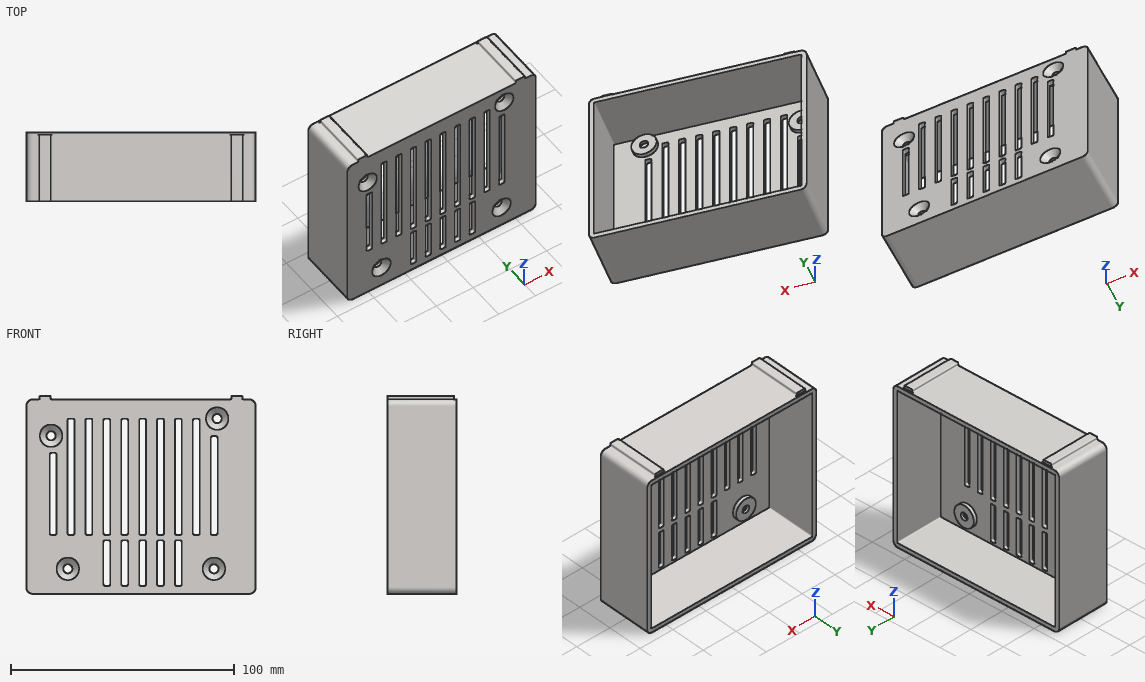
import cadquery as cq

width = 102.6
depth = 30.9
total_height = 88.6
rail_height = 1.5
body_height = total_height - rail_height
corner_radius = 3.0
wall = 2.5

rail_width = 5.0
rail_offset = 42.9
rail_fillet = 0.5
rail_back_gap = 1.0
rail_length = depth - rail_back_gap

slot_width = 3.0
slot_pitch = 8.0
slot_corner = 0.7
center_slot_x = 0.7
upper_bottom = 26.5
upper_top = 78.4
left_slot_top = 63.1
right_slot_top = 70.6
lower_bottom = 3.7
lower_top = 24.0

upper_first, upper_last = -5, 4
lower_first, lower_last = -2, 2

screw_points = [(-40.2, 70.8), (34.1, 78.5), (-32.7, 11.3), (32.6, 11.3)]
screw_diameter = 4.0
sink_diameter = 10.1
sink_depth = 3.0
boss_diameter = 12.0
boss_depth = 4.5


def front_block(x_size, z_bottom, z_top, length, x_center=0.0):
    """Block running back from the front face, given its X size, Z range and length."""
    return (
        cq.Workplane("XY")
        .box(x_size, length, z_top - z_bottom)
        .translate((x_center, length / 2, (z_bottom + z_top) / 2))
    )


def make_shell():
    outer = front_block(width, 0, body_height, depth).edges("|Y").fillet(corner_radius)
    cavity = (
        front_block(width - 2 * wall, wall, body_height - wall, depth - wall)
        .edges("|Y")
        .fillet(corner_radius - wall)
        .translate((0, wall, 0))
    )
    return outer.cut(cavity)


def rail_foot(edge_x, flank):
    """Concave fillet between the top face and one flank (-1 or 1) of a rail."""
    return (
        cq.Workplane("XZ", origin=(edge_x, 0, body_height))
        .moveTo(0, rail_fillet)
        .radiusArc((flank * rail_fillet, 0), -flank * rail_fillet)
        .lineTo(0, 0)
        .close()
        .extrude(-rail_length)
    )


def add_rail(body, x):
    rail = front_block(rail_width, body_height - wall / 2, total_height, rail_length, x)
    body = body.union(rail.edges("|Y and >Z").fillet(rail_fillet))
    for flank in (-1, 1):
        body = body.union(rail_foot(x + flank * rail_width / 2, flank))
    return body


def cut_slot(body, index, z_bottom, z_top):
    x = center_slot_x + index * slot_pitch
    slot = front_block(slot_width, z_bottom, z_top, wall, x)
    return body.cut(slot.edges("|Y").fillet(slot_corner))


def rod(x, z, diameter, length):
    """Cylinder running back from the front face."""
    start = cq.Vector(x, 0, z)
    return cq.Workplane(cq.Solid.makeCylinder(diameter / 2, length, start, cq.Vector(0, 1, 0)))


def countersink(x, z):
    start = cq.Vector(x, 0, z)
    return cq.Workplane(
        cq.Solid.makeCone(sink_diameter / 2, screw_diameter / 2, sink_depth, start, cq.Vector(0, 1, 0))
    )


def add_screw_hole(body, x, z):
    body = body.union(rod(x, z, boss_diameter, boss_depth))
    return body.cut(rod(x, z, screw_diameter, boss_depth)).cut(countersink(x, z))


result = make_shell()

for side in (-1, 1):
    result = add_rail(result, side * rail_offset)

for index in range(upper_first, upper_last + 1):
    slot_top = upper_top
    if index == upper_first:
        slot_top = left_slot_top
    elif index == upper_last:
        slot_top = right_slot_top
    result = cut_slot(result, index, upper_bottom, slot_top)

for index in range(lower_first, lower_last + 1):
    result = cut_slot(result, index, lower_bottom, lower_top)

for screw_x, screw_z in screw_points:
    result = add_screw_hole(result, screw_x, screw_z)